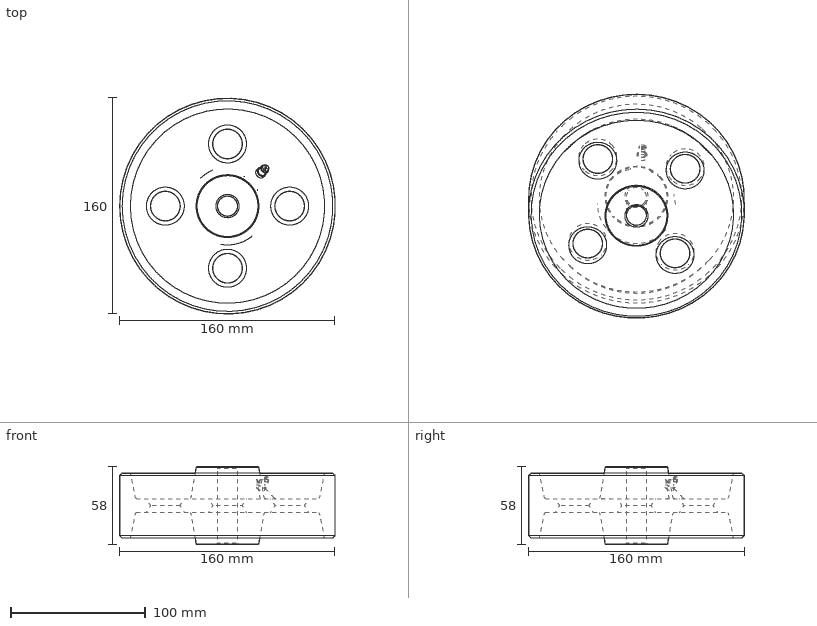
import cadquery as cq
import math

TREAD_RADIUS = 80.0
TREAD_WIDTH = 48.3
TREAD_CHAMFER = 2.0
RIM_MOUTH_RADIUS = 72.0
RIM_ROOT_RADIUS = 68.2
WEB_THICKNESS = 10.0
HUB_LENGTH = 58.0
HUB_END_RADIUS = 23.2
HUB_ROOT_RADIUS = 27.2
HUB_CHAMFER = 0.6
CAST_FILLET = 2.0
BORE_RADIUS = 7.4
BORE_CHAMFER = 1.3

HOLE_COUNT = 4
HOLE_CIRCLE_RADIUS = 46.0
HOLE_RADIUS = 10.9
HOLE_MOUTH_RADIUS = 14.0

PAD_DIRECTION = 45.0
PAD_SLOPE = 37.0
PAD_TOE_RADIUS = 45.0
PAD_HALF_WIDTH = 6.0
PAD_SIDE_DRAFT = 7.0
PAD_DEPTH = 19.2
PAD_LENGTH = 28.8
PAD_OVERRUN = 4.8

NIPPLE_SEAT_RADIUS = 34.2
FLANGE_RADIUS = 3.7
FLANGE_HEIGHT = 2.7
NECK_RADIUS = 2.9
HEAD_RADIUS = 3.2
HEAD_BOTTOM = 4.8
HEAD_MIDDLE = 6.4
HEAD_TOP = 7.8
TIP_ROOT_RADIUS = 2.7
TIP_RADIUS = 2.5
NIPPLE_HEIGHT = 9.8
GREASE_HOLE_RADIUS = 0.6
GREASE_HOLE_DEPTH = 2.0

WEB_TOP = WEB_THICKNESS / 2
HUB_TOP = HUB_LENGTH / 2
TREAD_TOP = TREAD_WIDTH / 2
TOLERANCE = 0.002


def revolve_about_z(outline):
    """Solid of revolution from (radius, height) points."""
    axial_plane = cq.Plane(origin=(0, 0, 0), xDir=(-1, 0, 0), normal=(0, 1, 0))
    return cq.Workplane(axial_plane).polyline(outline).close().revolve(360, (0, 0), (0, 1))


def face_frame(radius):
    """Plane on the pad face: X runs down the slope, Z is the face normal."""
    slope = math.radians(PAD_SLOPE)
    turn = math.radians(PAD_DIRECTION)
    height = WEB_TOP + (PAD_TOE_RADIUS - radius) * math.tan(slope)
    origin = (radius * math.cos(turn), radius * math.sin(turn), height)
    downhill = (
        math.cos(slope) * math.cos(turn),
        math.cos(slope) * math.sin(turn),
        -math.sin(slope),
    )
    normal = (
        math.sin(slope) * math.cos(turn),
        math.sin(slope) * math.sin(turn),
        math.cos(slope),
    )
    return cq.Plane(origin=origin, xDir=downhill, normal=normal)


def make_wheel_blank():
    """Tread, web and hub as one turned shape, still without bore, holes and fillets."""
    upper_half = [
        (HUB_END_RADIUS, HUB_TOP),
        (HUB_ROOT_RADIUS, WEB_TOP),
        (RIM_ROOT_RADIUS, WEB_TOP),
        (RIM_MOUTH_RADIUS, TREAD_TOP),
        (TREAD_RADIUS - TREAD_CHAMFER, TREAD_TOP),
        (TREAD_RADIUS, TREAD_TOP - TREAD_CHAMFER),
    ]
    lower_half = [(radius, -height) for radius, height in reversed(upper_half)]
    outline = [(0, HUB_TOP)] + upper_half + lower_half + [(0, -HUB_TOP)]
    blank = revolve_about_z(outline)
    return blank.faces("<Z or >Z").edges().chamfer(HUB_CHAMFER)


def make_pad():
    """Drafted bar with rounded shoulders under the sloping face, from inside the hub past the toe."""
    root_half_width = PAD_HALF_WIDTH + PAD_DEPTH * math.tan(math.radians(PAD_SIDE_DRAFT))
    section = [
        (-PAD_HALF_WIDTH, 0),
        (PAD_HALF_WIDTH, 0),
        (root_half_width, -PAD_DEPTH),
        (-root_half_width, -PAD_DEPTH),
    ]
    toe = face_frame(PAD_TOE_RADIUS)
    cross_plane = cq.Plane(origin=toe.origin, xDir=toe.yDir, normal=toe.xDir)
    bar = (
        cq.Workplane(cross_plane)
        .workplane(offset=-PAD_LENGTH)
        .polyline(section)
        .close()
        .extrude(PAD_LENGTH + PAD_OVERRUN)
    )
    along_slope = cq.selectors.ParallelDirSelector(toe.xDir)
    face_side = cq.selectors.DirectionMinMaxSelector(toe.zDir, True)
    bar = bar.faces(face_side).edges(along_slope).fillet(CAST_FILLET)
    above_mid_plane = cq.Workplane("XY").circle(RIM_ROOT_RADIUS).extrude(HUB_TOP)
    return bar.intersect(above_mid_plane)


def is_cast_corner(edge):
    """True on the web's faces, and where the pad runs into the hub cone."""
    height = edge.Center().z
    on_web_face = abs(abs(height) - WEB_TOP) < TOLERANCE
    pad_meets_hub = edge.geomType() != "LINE" and WEB_TOP < height < TREAD_TOP - 2 * TREAD_CHAMFER
    return on_web_face or pad_meets_hub


def make_bore_cutter():
    """Through bore with a chamfer at each end of the hub."""
    mouth_radius = BORE_RADIUS + BORE_CHAMFER
    outline = [
        (0, HUB_TOP),
        (mouth_radius, HUB_TOP),
        (BORE_RADIUS, HUB_TOP - BORE_CHAMFER),
        (BORE_RADIUS, BORE_CHAMFER - HUB_TOP),
        (mouth_radius, -HUB_TOP),
        (0, -HUB_TOP),
    ]
    return revolve_about_z(outline)


def make_hole_cutter():
    """Lightening hole on the Z axis: two cones that narrow to the mid plane of the web."""
    outline = [
        (0, WEB_TOP),
        (HOLE_MOUTH_RADIUS, WEB_TOP),
        (HOLE_RADIUS, 0),
        (HOLE_MOUTH_RADIUS, -WEB_TOP),
        (0, -WEB_TOP),
    ]
    return revolve_about_z(outline)


def make_wheel():
    """Finished wheel with pad, fillets, bore and lightening holes."""
    wheel = make_wheel_blank().union(make_pad())
    wheel = wheel.edges().filter(is_cast_corner).fillet(CAST_FILLET)
    wheel = wheel.cut(make_bore_cutter())
    hole_cutter = make_hole_cutter()
    for index in range(HOLE_COUNT):
        angle = 2 * math.pi * index / HOLE_COUNT
        centre = (HOLE_CIRCLE_RADIUS * math.cos(angle), HOLE_CIRCLE_RADIUS * math.sin(angle), 0)
        wheel = wheel.cut(hole_cutter.translate(centre))
    return wheel


def make_nipple():
    """Turned grease nipple standing square on the pad face."""
    seat = face_frame(NIPPLE_SEAT_RADIUS)
    axial_plane = cq.Plane(origin=seat.origin, xDir=seat.xDir, normal=-seat.yDir)
    outline = (
        cq.Workplane(axial_plane)
        .lineTo(FLANGE_RADIUS, 0)
        .lineTo(FLANGE_RADIUS, FLANGE_HEIGHT)
        .lineTo(NECK_RADIUS, FLANGE_HEIGHT)
        .lineTo(NECK_RADIUS, HEAD_BOTTOM)
        .threePointArc((HEAD_RADIUS, HEAD_MIDDLE), (HEAD_RADIUS, HEAD_TOP))
        .lineTo(TIP_ROOT_RADIUS, HEAD_TOP)
        .lineTo(TIP_RADIUS, NIPPLE_HEIGHT)
        .lineTo(0, NIPPLE_HEIGHT)
        .close()
    )
    nipple = outline.revolve(360, (0, 0), (0, 1))
    grease_hole = (
        cq.Workplane(seat)
        .workplane(offset=NIPPLE_HEIGHT - GREASE_HOLE_DEPTH)
        .circle(GREASE_HOLE_RADIUS)
        .extrude(GREASE_HOLE_DEPTH)
    )
    return nipple.cut(grease_hole)


wheel = make_wheel()
nipple = make_nipple()

result = cq.Compound.makeCompound([wheel.solids().val(), nipple.solids().val()])